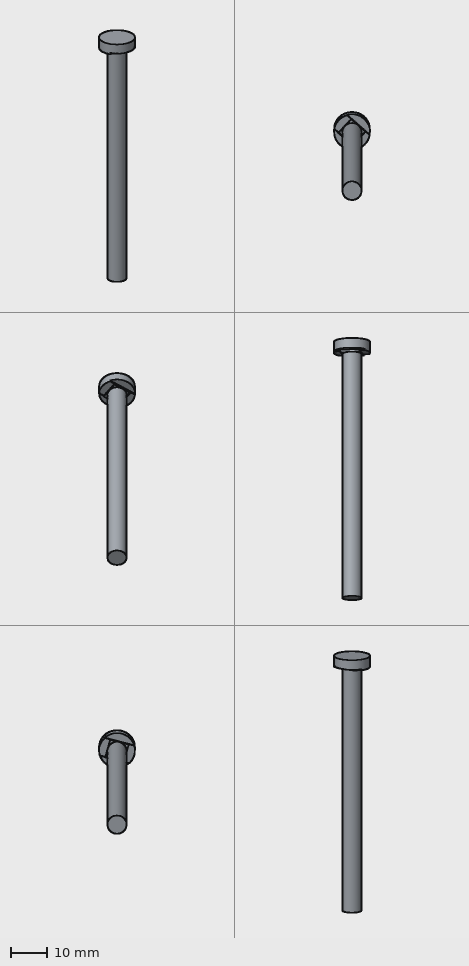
import cadquery as cq

total_length = 72.8
head_diameter = 10.0
shaft_diameter = 5.3

disc_height = 2.8
key_height = 0.4
key_width = shaft_diameter

neck_width = key_width
neck_height = 0.3

top_z = total_length / 2
disc_bottom_z = top_z - disc_height
key_bottom_z = disc_bottom_z - key_height
shaft_top_z = key_bottom_z - neck_height


def upright_cylinder(diameter, bottom_z, height):
    return cq.Workplane("XY").workplane(offset=bottom_z).circle(diameter / 2).extrude(height)


def head_key():
    """Slice of the head cylinder left between the two flats."""
    slab = (
        cq.Workplane("XY")
        .workplane(offset=key_bottom_z)
        .rect(key_width, head_diameter)
        .extrude(key_height)
    )
    return slab.intersect(upright_cylinder(head_diameter, key_bottom_z, key_height))


disc = upright_cylinder(head_diameter, disc_bottom_z, disc_height)
neck = (
    cq.Workplane("XY")
    .workplane(offset=shaft_top_z)
    .rect(neck_width, neck_width)
    .extrude(neck_height)
)
shaft = upright_cylinder(shaft_diameter, -top_z, shaft_top_z + top_z)

result = disc.union(head_key()).union(neck).union(shaft)